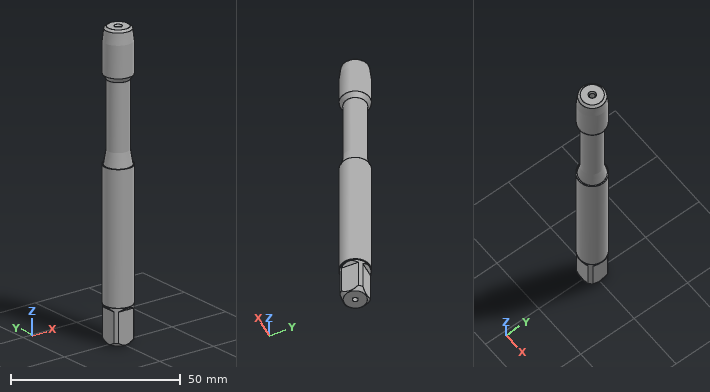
import cadquery as cq
import math

total_length = 100.0
shank_bottom = 12.5
shank_top = 56.3
neck_bottom = 61.0
neck_top = 82.8
head_undercut = 83.4
head_bottom = 85.0
head_top = 95.4
nose_chamfer = 0.7

shank_diameter = 9.7
shoulder_diameter = 8.9
neck_diameter = 7.3
undercut_diameter = 7.4
head_diameter = 9.6
nose_diameter = 8.7
tip_diameter = 7.1
bore_diameter = 1.7
bore_mouth_diameter = 2.4
countersink_angle = 60

square_width = 7.5
square_corner_diameter = 9.3
drive_chamfer_height = 1.3
drive_end_diameter = 7.1
square_runout_start = 11.2


def make_body():
    """Revolve the half profile, with radius along X and height along Z."""
    corner_radius = square_corner_diameter / 2
    shank_radius = shank_diameter / 2
    shank_chamfer = shank_radius - corner_radius
    profile = [
        (0, 0),
        (drive_end_diameter / 2, 0),
        (corner_radius, drive_chamfer_height),
        (corner_radius, shank_bottom - shank_chamfer),
        (shank_radius, shank_bottom),
        (shank_radius, shank_top),
        (shoulder_diameter / 2, shank_top),
        (neck_diameter / 2, neck_bottom),
        (neck_diameter / 2, neck_top),
        (undercut_diameter / 2, head_undercut),
        (head_diameter / 2, head_bottom),
        (head_diameter / 2, head_top),
        (nose_diameter / 2, total_length - nose_chamfer),
        (tip_diameter / 2, total_length),
        (0, total_length),
    ]
    return cq.Workplane("XZ").polyline(profile).close().revolve(360, (0, 0), (0, 1))


def make_flat_cutter():
    """Block that cuts the +X drive flat, ending in a 45 degree runout."""
    inner = square_width / 2
    outer = shank_diameter
    section = [
        (inner, 0),
        (outer, 0),
        (outer, square_runout_start + outer - inner),
        (inner, square_runout_start),
    ]
    return cq.Workplane("XZ").polyline(section).close().extrude(shank_diameter, both=True)


result = make_body()

flat_cutter = make_flat_cutter()
for angle in (0, 90, 180, 270):
    result = result.cut(flat_cutter.rotate((0, 0, 0), (0, 0, 1), angle))

bore = cq.Workplane("XY").circle(bore_diameter / 2).extrude(total_length)
result = result.cut(bore)

countersink_depth = (bore_mouth_diameter - bore_diameter) / 2 / math.tan(math.radians(countersink_angle / 2))
countersink = cq.Workplane("XY").add(
    cq.Solid.makeCone(
        bore_diameter / 2,
        bore_mouth_diameter / 2,
        countersink_depth,
        pnt=cq.Vector(0, 0, total_length - countersink_depth),
    )
)
result = result.cut(countersink)